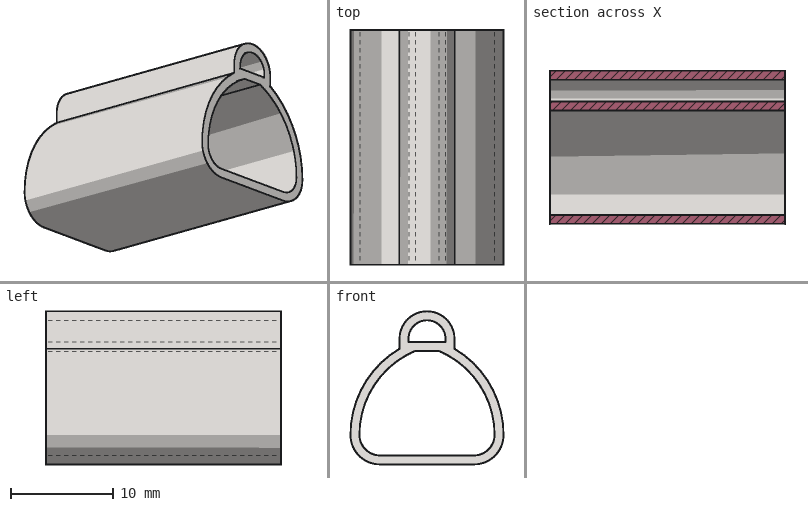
import cadquery as cq
import math

LENGTH = 23.0
WIDTH = 15.0
HEIGHT = 15.0
WALL = 0.9
CORNER_RADIUS = 2.9
SIDE_RADIUS = 9.8
TUBE_RADIUS = 2.7
TUBE_FLOOR = 12.0

HALF_WIDTH = WIDTH / 2
TUBE_CENTER = HEIGHT - TUBE_RADIUS
CAVITY_CEILING = TUBE_FLOOR - WALL


def flank_angle(radius, x):
    """Angle above horizontal at which a right flank of this radius reaches x."""
    center_x = HALF_WIDTH - SIDE_RADIUS
    return math.acos((x - center_x) / radius)


def flank_point(radius, angle):
    """Point on the right flank, as (x, z)."""
    x = HALF_WIDTH - SIDE_RADIUS + radius * math.cos(angle)
    z = CORNER_RADIUS + radius * math.sin(angle)
    return x, z


def mirrored(point):
    return -point[0], point[1]


def body_profile(inset, end_angle):
    """Closed D-shaped outline: flat bottom, round corners, curved flanks, flat top.

    The outline lies inside the outer skin by inset, and its flanks stop at end_angle.
    """
    corner = CORNER_RADIUS - inset
    flank = SIDE_RADIUS - inset
    corner_x = HALF_WIDTH - CORNER_RADIUS
    corner_mid = corner * math.sqrt(0.5)

    bottom = (corner_x, inset)
    corner_arc = (corner_x + corner_mid, CORNER_RADIUS - corner_mid)
    side = (HALF_WIDTH - inset, CORNER_RADIUS)
    flank_arc = flank_point(flank, end_angle / 2)
    top = flank_point(flank, end_angle)

    return (
        cq.Workplane("XZ")
        .moveTo(*mirrored(bottom))
        .lineTo(*bottom)
        .threePointArc(corner_arc, side)
        .threePointArc(flank_arc, top)
        .lineTo(*mirrored(top))
        .threePointArc(mirrored(flank_arc), mirrored(side))
        .threePointArc(mirrored(corner_arc), mirrored(bottom))
        .close()
    )


def tube_profile(radius, floor):
    """Half-round arch of this radius, with straight legs down to a flat floor."""
    return (
        cq.Workplane("XZ")
        .moveTo(-radius, floor)
        .lineTo(radius, floor)
        .lineTo(radius, TUBE_CENTER)
        .threePointArc((0, TUBE_CENTER + radius), (-radius, TUBE_CENTER))
        .close()
    )


def extrude_along_y(profile):
    return profile.extrude(LENGTH / 2, both=True)


outer_angle = flank_angle(SIDE_RADIUS, TUBE_RADIUS)
body = extrude_along_y(body_profile(0, outer_angle))
tube = extrude_along_y(tube_profile(TUBE_RADIUS, CAVITY_CEILING))

inner_angle = math.asin((CAVITY_CEILING - CORNER_RADIUS) / (SIDE_RADIUS - WALL))
cavity = extrude_along_y(body_profile(WALL, inner_angle))
bore = extrude_along_y(tube_profile(TUBE_RADIUS - WALL, TUBE_FLOOR))

result = body.union(tube).cut(cavity).cut(bore)